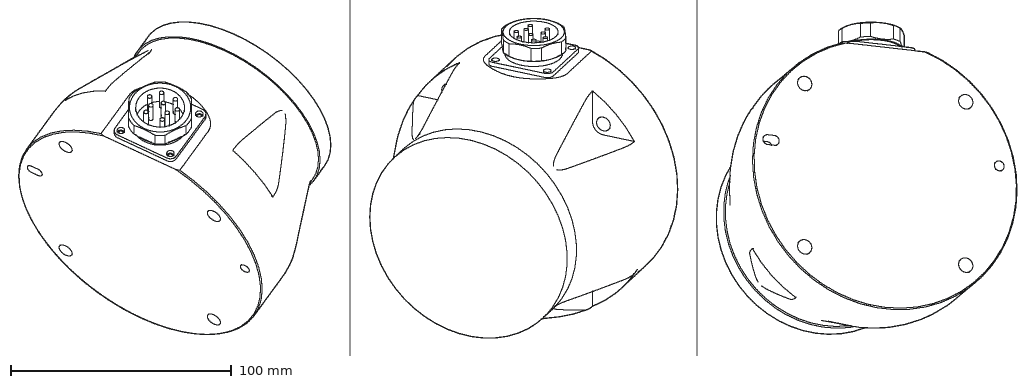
import cadquery as cq
import math


base_radius = 63.8
base_end = 26.0
base_chamfer = 0.5
neck_radius = 48.7
neck_end = 77.0
neck_length = 1.4
bell_blend_radius = 25.0
flat_height = 60.4

pocket_floor = 26.4
pocket_wall = 33.4
pocket_round = 5.5
screw_hole_diameter = 6.9
screw_hole_offset = pocket_wall + pocket_round

locator_offset = 55.0
locator_height = 10.2
locator_width = 4.7
locator_slot_length = 7.8
locator_depth = 9.6

ring_radius = 49.5
total_length = 86.8

connector_top = 73.5
connector_y = 18.3
flange_size = 32.0
flange_thickness = 2.0
flange_corner_radius = 3.0
flange_hole_pitch = 26.0
flange_hole_diameter = 3.5
thread_hole_diameter = 2.5
thread_hole_depth = 6.9
drill_point_angle = 118
barrel_diameter = 26.1
hex_height = 8.1
hex_across_flats = 28.4
hex_corner_diameter = 30.5
hex_rim_diameter = 27.7
hex_chamfer_height = 0.8
socket_diameter = 22.1
socket_depth = 10.0
pin_diameter = 2.0
pin_pairs = [(3.64, 7.5), (7.3, 3.0), (4.3, -1.0), (4.3, -5.4)]
center_pin_y = 3.0

flange_top = flat_height + flange_thickness


def revolve_profile(profile):
    """Close a half profile and turn it about the Y axis of its workplane."""
    return profile.close().revolve(360, (0, 0, 0), (0, 1, 0))


def top_plane(height):
    """Plane facing +Z, centred on the connector axis."""
    return cq.Workplane("XY", origin=(0, connector_y, height))


def bell_cone_angle():
    """Angle between the axis and the cone that is tangent to both bell rounds."""
    rise = neck_end - neck_length - base_end
    radius_step = base_radius - neck_radius
    both_radii = 2 * bell_blend_radius
    cone_length = math.sqrt((both_radii - radius_step) ** 2 + rise**2 - both_radii**2)
    return math.atan2(rise, both_radii - radius_step) - math.atan2(cone_length, both_radii)


def housing_blank():
    """Base, flared bell and straight neck, with the connector flat cut off the top."""
    cone_angle = bell_cone_angle()
    neck_start = neck_end - neck_length

    def arc_offset(angle):
        inward = bell_blend_radius * (1 - math.cos(angle))
        along = bell_blend_radius * math.sin(angle)
        return inward, along

    mid_in, mid_along = arc_offset(cone_angle / 2)
    end_in, end_along = arc_offset(cone_angle)
    profile = (
        cq.Workplane("XY")
        .lineTo(base_radius - base_chamfer, 0)
        .lineTo(base_radius, base_chamfer)
        .lineTo(base_radius, base_end)
        .threePointArc(
            (base_radius - mid_in, base_end + mid_along),
            (base_radius - end_in, base_end + end_along),
        )
        .lineTo(neck_radius + end_in, neck_start - end_along)
        .threePointArc(
            (neck_radius + mid_in, neck_start - mid_along),
            (neck_radius, neck_start),
        )
        .lineTo(neck_radius, neck_end)
        .lineTo(0, neck_end)
    )
    above_flat = top_plane(flat_height).rect(2 * base_radius, 2 * total_length).extrude(base_radius)
    return revolve_profile(profile).cut(above_flat)


def screw_pocket():
    """Square pocket in the +X +Z quadrant with its through hole into the base."""
    size = base_radius - pocket_wall
    middle = pocket_wall + size / 2
    pocket = (
        cq.Workplane("XZ", origin=(0, pocket_floor, 0))
        .center(middle, middle)
        .rect(size, size)
        .extrude(pocket_floor - neck_end)
        .edges("|Y and <X and <Z")
        .fillet(pocket_round)
    )
    hole = (
        cq.Workplane("XZ")
        .center(screw_hole_offset, screw_hole_offset)
        .circle(screw_hole_diameter / 2)
        .extrude(-pocket_floor)
    )
    return pocket.union(hole)


def locating_holes():
    """Round hole on the +X side and slot on the -X side of the mounting face."""
    hole = (
        cq.Workplane("XZ")
        .center(locator_offset, locator_height)
        .circle(locator_width / 2)
        .extrude(-locator_depth)
    )
    slot = (
        cq.Workplane("XZ")
        .center(-locator_offset, locator_height)
        .slot2D(locator_slot_length, locator_width)
        .extrude(-locator_depth)
    )
    return hole.union(slot)


def thread_holes():
    """Blind holes with a drill point below the connector flange."""
    tip_depth = thread_hole_diameter / 2 / math.tan(math.radians(drill_point_angle / 2))
    profile = (
        cq.Workplane("XZ")
        .lineTo(thread_hole_diameter / 2, 0)
        .lineTo(thread_hole_diameter / 2, -thread_hole_depth)
        .lineTo(0, -thread_hole_depth - tip_depth)
    )
    hole = revolve_profile(profile).val()
    return (
        top_plane(flat_height)
        .rect(flange_hole_pitch, flange_hole_pitch, forConstruction=True)
        .vertices()
        .eachpoint(lambda place: hole.moved(place), combine=False)
    )


def make_housing():
    housing = housing_blank()
    for quarter in range(4):
        housing = housing.cut(screw_pocket().rotate((0, 0, 0), (0, 1, 0), 90 * quarter))
    housing = housing.cut(locating_holes())
    return housing.cut(thread_holes())


def make_rear_ring():
    """Plain disc behind the neck of the housing."""
    return cq.Workplane("XZ", origin=(0, neck_end, 0)).circle(ring_radius).extrude(neck_end - total_length)


def hex_collar():
    """Hexagon with turned corners, chamfered at both ends, flats facing -Y and +Y."""
    bottom = connector_top - hex_height
    across_corners = hex_across_flats / math.cos(math.radians(30))
    hexagon = top_plane(bottom).polygon(6, across_corners).extrude(hex_height)
    profile = (
        cq.Workplane("XZ", origin=(0, connector_y, bottom))
        .lineTo(hex_rim_diameter / 2, 0)
        .lineTo(hex_corner_diameter / 2, hex_chamfer_height)
        .lineTo(hex_corner_diameter / 2, hex_height - hex_chamfer_height)
        .lineTo(hex_rim_diameter / 2, hex_height)
        .lineTo(0, hex_height)
    )
    return hexagon.intersect(revolve_profile(profile))


def contact_pins():
    """Pins standing on the socket floor, flush with the rim."""
    points = [(0, center_pin_y)]
    for half_spacing, offset in pin_pairs:
        points += [(-half_spacing, offset), (half_spacing, offset)]
    return (
        top_plane(connector_top)
        .pushPoints(points)
        .circle(pin_diameter / 2)
        .extrude(-socket_depth)
    )


def make_connector():
    """Square flange, barrel with hexagon collar, and contact pins in the open socket."""
    flange = (
        top_plane(flat_height)
        .rect(flange_size, flange_size)
        .extrude(flange_thickness)
        .edges("|Z")
        .fillet(flange_corner_radius)
    )
    flange_holes = (
        top_plane(flat_height)
        .rect(flange_hole_pitch, flange_hole_pitch, forConstruction=True)
        .vertices()
        .circle(flange_hole_diameter / 2)
        .extrude(flange_thickness)
    )
    barrel = top_plane(flange_top).circle(barrel_diameter / 2).extrude(connector_top - flange_top)
    socket = top_plane(connector_top).circle(socket_diameter / 2).extrude(-socket_depth)
    shell = flange.cut(flange_holes).union(barrel).union(hex_collar()).cut(socket)
    return shell.union(contact_pins())


housing = make_housing()
rear_ring = make_rear_ring()
connector = make_connector()

result = cq.Compound.makeCompound([housing.val(), rear_ring.val(), connector.val()])